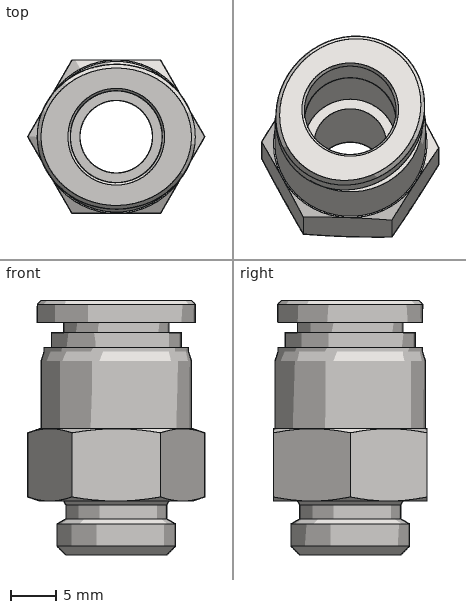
import cadquery as cq
import math

OVERALL_HEIGHT = 28.2

SPIGOT_DIAMETER = 13.17
UNDERCUT_DIAMETER = 11.2
UNDERCUT_FLARE_DIAMETER = 11.7
SPIGOT_RIM_Z = 3.45
CONE_SLOPE = math.tan(math.radians(30))

HEX_ACROSS_FLATS = 17.0
HEX_BOTTOM_Z = 5.98
HEX_TOP_Z = 14.0
HEX_CORNER_DROP = 0.45

BARREL_DIAMETER = 16.7
BARREL_SHOULDER_Z = 21.5
MOUTH_DIAMETER = 16.05
MOUTH_CONE_TOP_Z = 22.5
BARREL_TOP_Z = 23.0

FLOW_BORE_DIAMETER = 8.0
TUBE_BORE_DIAMETER = 10.2
TUBE_STOP_Z = HEX_TOP_Z

COLLAR_DIAMETER = 14.4
COLLAR_TOP_Z = 24.65
NECK_DIAMETER = 11.7
FLANGE_BOTTOM_Z = 25.75
FLANGE_LENGTH_X = 17.5
FLANGE_WIDTH_Y = 16.07
FLANGE_CHAMFER = 0.42
SLEEVE_BORE_DIAMETER = 10.15
SLEEVE_BORE_CHAMFER = 0.28


def cylinder(diameter, bottom_z, top_z):
    """Solid cylinder on the Z axis between two heights."""
    return cq.Workplane("XY").workplane(offset=bottom_z).circle(diameter / 2).extrude(top_z - bottom_z)


def revolve_about_z(profile):
    """Turn a closed (radius, z) profile about the Z axis."""
    return cq.Workplane("XZ").polyline(profile).close().revolve(360, (0, 0), (0, 1))


def make_spigot():
    """Chamfered thread blank with an undercut below the hexagon."""
    outer = SPIGOT_DIAMETER / 2
    undercut = UNDERCUT_DIAMETER / 2
    flare = UNDERCUT_FLARE_DIAMETER / 2
    lead_in = outer - undercut
    return revolve_about_z([
        (0, 0),
        (undercut, 0),
        (outer, lead_in),
        (outer, SPIGOT_RIM_Z),
        (undercut, SPIGOT_RIM_Z + lead_in * CONE_SLOPE),
        (undercut, HEX_BOTTOM_Z - (flare - undercut) / CONE_SLOPE),
        (flare, HEX_BOTTOM_Z),
        (0, HEX_BOTTOM_Z),
    ])


def make_hexagon():
    """Hexagon with corners on the X axis, both ends turned to a shallow cone."""
    corner = HEX_ACROSS_FLATS / math.sqrt(3)
    flat = HEX_ACROSS_FLATS / 2
    prism = (
        cq.Workplane("XY").workplane(offset=HEX_BOTTOM_Z)
        .polygon(6, 2 * corner)
        .extrude(HEX_TOP_Z - HEX_BOTTOM_Z)
    )
    turned_envelope = revolve_about_z([
        (0, HEX_BOTTOM_Z),
        (flat, HEX_BOTTOM_Z),
        (corner, HEX_BOTTOM_Z + HEX_CORNER_DROP),
        (corner, HEX_TOP_Z - HEX_CORNER_DROP),
        (flat, HEX_TOP_Z),
        (0, HEX_TOP_Z),
    ])
    return prism.intersect(turned_envelope)


def make_barrel():
    """Round barrel tapering to a short cylindrical mouth."""
    return revolve_about_z([
        (0, HEX_TOP_Z),
        (BARREL_DIAMETER / 2, HEX_TOP_Z),
        (BARREL_DIAMETER / 2, BARREL_SHOULDER_Z),
        (MOUTH_DIAMETER / 2, MOUTH_CONE_TOP_Z),
        (MOUTH_DIAMETER / 2, BARREL_TOP_Z),
        (0, BARREL_TOP_Z),
    ])


def make_housing():
    """Spigot, hexagon and barrel in one piece, bored for flow and for the tube."""
    blank = make_spigot().union(make_hexagon()).union(make_barrel())
    flow_bore = cylinder(FLOW_BORE_DIAMETER, 0, TUBE_STOP_Z)
    tube_bore = cylinder(TUBE_BORE_DIAMETER, TUBE_STOP_Z, BARREL_TOP_Z)
    return blank.cut(flow_bore).cut(tube_bore)


def make_flange():
    """Oval push flange with a chamfered top edge."""
    return (
        cq.Workplane("XY").workplane(offset=FLANGE_BOTTOM_Z)
        .ellipse(FLANGE_LENGTH_X / 2, FLANGE_WIDTH_Y / 2)
        .extrude(OVERALL_HEIGHT - FLANGE_BOTTOM_Z)
        .faces(">Z").edges().chamfer(FLANGE_CHAMFER)
    )


def make_sleeve():
    """Release sleeve seated on the barrel: collar, neck and flange around one bore."""
    collar = cylinder(COLLAR_DIAMETER, BARREL_TOP_Z, COLLAR_TOP_Z)
    neck = cylinder(NECK_DIAMETER, COLLAR_TOP_Z, FLANGE_BOTTOM_Z)
    bore_radius = SLEEVE_BORE_DIAMETER / 2
    bore = revolve_about_z([
        (0, BARREL_TOP_Z),
        (bore_radius, BARREL_TOP_Z),
        (bore_radius, OVERALL_HEIGHT - SLEEVE_BORE_CHAMFER),
        (bore_radius + SLEEVE_BORE_CHAMFER, OVERALL_HEIGHT),
        (0, OVERALL_HEIGHT),
    ])
    return collar.union(neck).union(make_flange()).cut(bore)


housing = make_housing()
sleeve = make_sleeve()

result = cq.Compound.makeCompound([housing.val(), sleeve.val()])